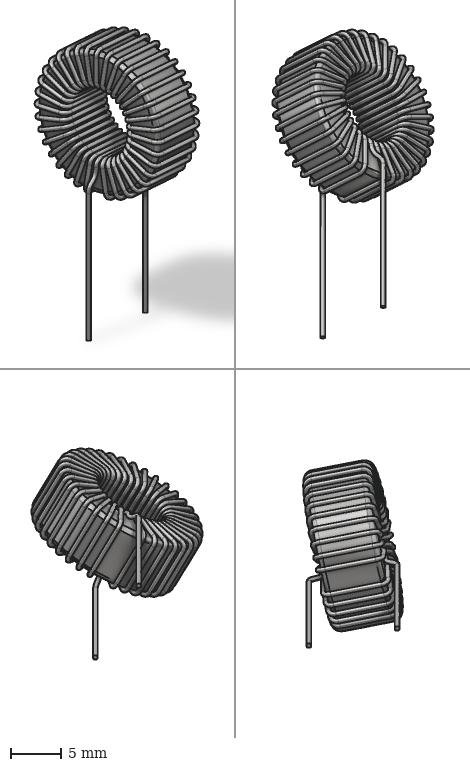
import cadquery as cq
import math

core_outer_diameter = 15.4
core_hole_diameter = 8.33
core_width = 6.1
core_edge_radius = 0.47

wire_diameter = 0.5
wire_clearance = 0.015
turn_count = 36
first_turn_angle = 270

overall_height = 31.3
lead_pitch = 9.0
lead_straight_top_z = -7.07
swing_coil_handle = 1.55
swing_straight_handle = 1.13

wire_offset = wire_diameter / 2 + wire_clearance
winding_inner_radius = core_hole_diameter / 2 - wire_offset
winding_outer_radius = core_outer_diameter / 2 + wire_offset
winding_half_width = core_width / 2 + wire_offset
winding_bend_radius = core_edge_radius + wire_offset

turn_step = 360 / turn_count
lead_y = lead_pitch / 2
lead_end_z = winding_outer_radius + wire_diameter / 2 - overall_height


def make_core():
    """Ring with rounded edges, centred on the origin."""
    return (
        cq.Workplane("XZ", origin=(0, core_width / 2, 0))
        .circle(core_outer_diameter / 2)
        .circle(core_hole_diameter / 2)
        .extrude(core_width)
        .edges()
        .fillet(core_edge_radius)
    )


def winding_point(radius, turn, y):
    """Point on the winding at the angle of a turn; turns advance clockwise seen from -Y."""
    angle = math.radians(first_turn_angle - turn_step * turn)
    return cq.Vector(radius * math.cos(angle), y, radius * math.sin(angle))


def winding_corners():
    """Corners of the coil: radial on the -Y face, slanting on to the next turn on the +Y face.

    The first and last corners only give the directions in which the coil leaves toward its leads.
    """
    corners = []
    for turn in range(turn_count):
        corners.append(winding_point(winding_outer_radius, turn, -winding_half_width))
        corners.append(winding_point(winding_inner_radius, turn, -winding_half_width))
        corners.append(winding_point(winding_inner_radius, turn, winding_half_width))
        corners.append(winding_point(winding_outer_radius, turn + 1, winding_half_width))
    return corners


def bend_at(previous, corner, following):
    """Arc that rounds a corner, tangent to the straight stretches on both sides."""
    toward_previous = (previous - corner).normalized()
    toward_following = (following - corner).normalized()
    bisector = (toward_previous + toward_following).normalized()
    half_angle = toward_previous.getAngle(toward_following) / 2
    setback = winding_bend_radius / math.tan(half_angle)
    middle_distance = winding_bend_radius / math.sin(half_angle) - winding_bend_radius
    return cq.Edge.makeThreePointArc(
        corner + toward_previous * setback,
        corner + bisector * middle_distance,
        corner + toward_following * setback,
    )


def coil_edges():
    """Centreline of the coil: a bend at every corner, with straight stretches between bends."""
    corners = winding_corners()
    bends = [bend_at(*corners[i - 1 : i + 2]) for i in range(1, len(corners) - 1)]
    edges = [bends[0]]
    for bend in bends[1:]:
        edges.append(cq.Edge.makeLine(edges[-1].endPoint(), bend.startPoint()))
        edges.append(bend)
    return edges


def lead_edges(coil_end, leaving_direction, y):
    """Centreline of a lead, from the coil out: an S-shaped swing, then straight down."""
    straight_top = cq.Vector(0, y, lead_straight_top_z)
    swing = cq.Edge.makeBezier(
        [
            coil_end,
            coil_end + leaving_direction * swing_coil_handle,
            straight_top + cq.Vector(0, 0, swing_straight_handle),
            straight_top,
        ]
    )
    return [swing, cq.Edge.makeLine(straight_top, cq.Vector(0, y, lead_end_z))]


def make_winding():
    """One continuous round wire: lead, coil and lead."""
    coil = coil_edges()
    front_lead = lead_edges(coil[0].startPoint(), coil[0].tangentAt(0) * -1, -lead_y)
    back_lead = lead_edges(coil[-1].endPoint(), coil[-1].tangentAt(1), lead_y)
    path = cq.Wire.assembleEdges(front_lead[::-1] + coil + back_lead)
    return (
        cq.Workplane("XY", origin=(0, -lead_y, lead_end_z))
        .circle(wire_diameter / 2)
        .sweep(cq.Workplane(path))
    )


core = make_core()
winding = make_winding()

result = cq.Compound.makeCompound([core.val(), winding.val()])